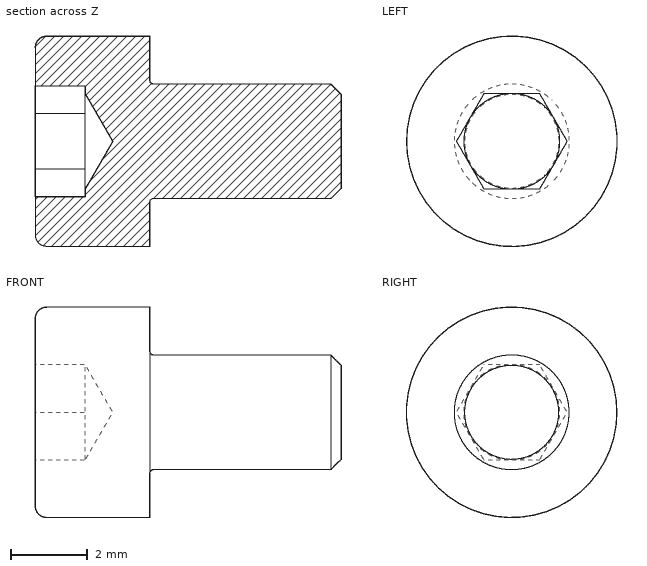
import cadquery as cq
import math

total_length = 8.0
head_diameter = 5.5
head_length = 3.0
head_edge_radius = 0.3
shank_diameter = 3.0
shank_tip_chamfer = 0.27
neck_fillet_radius = 0.1

socket_across_flats = 2.5
socket_depth = 1.3
drill_point_angle = 120.0

shank_length = total_length - head_length
socket_across_corners = socket_across_flats / math.cos(math.radians(30))
drill_radius = socket_across_flats / 2
drill_point_depth = drill_radius / math.tan(math.radians(drill_point_angle / 2))


def make_head():
    """Cylindrical head with a rounded outer end."""
    head = cq.Workplane("YZ").circle(head_diameter / 2).extrude(-head_length)
    return head.faces("<X").edges().fillet(head_edge_radius)


def make_shank():
    """Plain shank with a chamfered tip."""
    shank = cq.Workplane("YZ").circle(shank_diameter / 2).extrude(shank_length)
    return shank.faces(">X").edges().chamfer(shank_tip_chamfer)


def make_neck():
    """Ring under the head whose concave arc blends the head into the shank."""
    shank_radius = shank_diameter / 2
    foot_radius = shank_radius + neck_fillet_radius
    arc_inset = neck_fillet_radius * (1 - math.sqrt(0.5))
    return (
        cq.Workplane("XY")
        .lineTo(0, foot_radius)
        .threePointArc(
            (arc_inset, shank_radius + arc_inset),
            (neck_fillet_radius, shank_radius),
        )
        .lineTo(neck_fillet_radius, 0)
        .close()
        .revolve(360, (0, 0, 0), (1, 0, 0))
    )


def make_socket():
    """Hexagonal recess, corners along Y, ending in a cone."""
    hexagon = (
        cq.Workplane("YZ", origin=(-head_length, 0, 0))
        .polygon(6, socket_across_corners)
        .extrude(socket_depth)
    )
    socket_floor = socket_depth - head_length
    drill_point = (
        cq.Workplane("XY")
        .moveTo(socket_floor, 0)
        .lineTo(socket_floor, drill_radius)
        .lineTo(socket_floor + drill_point_depth, 0)
        .close()
        .revolve(360, (0, 0, 0), (1, 0, 0))
    )
    return hexagon.union(drill_point)


result = make_head().union(make_shank()).union(make_neck()).cut(make_socket())